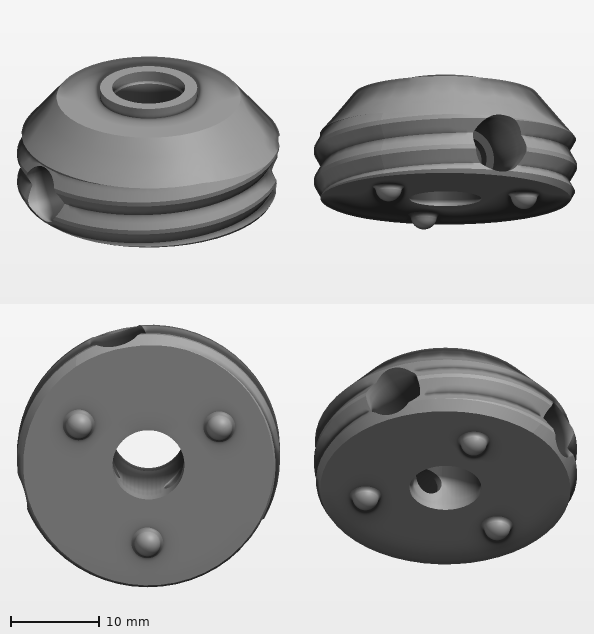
import cadquery as cq
import math

outer_radius = 14.88
housing_height = 11.98
top_face_radius = 10.42
cone_angle = 40.0
cone_height = (outer_radius - top_face_radius) / math.tan(math.radians(cone_angle))
bottom_chamfer_width = 0.7
bottom_chamfer_height = 1.27
bore_diameter = 8.15
bore_chamfer = 0.3

groove_pitch = 3.52
groove_width = 3.02
groove_depth = 0.85
groove_height_at_x_axis = 0.83
groove_top = 7.45
groove_segments_per_turn = 2
groove_first_segment = -2
groove_last_segment = 4
groove_overshoot = 0.1

port_angles = [-90, 180, 55]
port_height = 3.67
port_mouth_diameter = 6.5
port_mouth_floor = 5.92
port_step_diameter = 4.65
port_step_floor = 4.62
port_hole_diameter = 3.35

foot_angles = [-15, 105, 225]
foot_circle_radius = 9.17
foot_root_radius = 1.8
foot_neck_radius = 1.45
foot_neck_depth = 0.5
foot_depth = 1.65
foot_flare_sag = 0.05

ring_outer_diameter = 11.0
ring_bore_diameter = 8.25
ring_height = 1.2


def make_blank():
    profile = (
        cq.Workplane("XZ")
        .lineTo(outer_radius - bottom_chamfer_width, 0)
        .lineTo(outer_radius, bottom_chamfer_height)
        .lineTo(outer_radius, housing_height - cone_height)
        .lineTo(top_face_radius, housing_height)
        .lineTo(0, housing_height)
        .close()
    )
    return profile.revolve(360, (0, 0, 0), (0, 1, 0))


def make_groove_segment():
    """Sweep a V along one helical segment that starts on the +X axis at height 0."""
    segment_height = groove_pitch / groove_segments_per_turn
    helix = cq.Wire.makeHelix(groove_pitch, segment_height, outer_radius)
    root = outer_radius - groove_depth
    rim = outer_radius + groove_overshoot
    rim_half_width = groove_width / 2 * (groove_depth + groove_overshoot) / groove_depth
    section = cq.Workplane("XZ").polyline([(root, 0), (rim, -rim_half_width), (rim, rim_half_width)]).close()
    return section.sweep(cq.Workplane(helix), isFrenet=True)


def cut_groove(body):
    """Cut the groove segment by segment, from below the bottom face up to the cone."""
    segment = make_groove_segment()
    clear_zone = cq.Workplane("XY", origin=(0, 0, groove_top)).circle(2 * outer_radius).extrude(housing_height)
    for index in range(groove_first_segment, groove_last_segment + 1):
        turns = index / groove_segments_per_turn
        placed = segment.rotate((0, 0, 0), (0, 0, 1), 360 * turns)
        placed = placed.translate((0, 0, groove_height_at_x_axis + turns * groove_pitch))
        body = body.cut(placed.cut(clear_zone))
    return body


def make_bore_cutter():
    radius = bore_diameter / 2
    bore = cq.Workplane("XY").circle(radius).extrude(housing_height)
    chamfer = cq.Solid.makeCone(
        radius, radius + bore_chamfer, bore_chamfer, cq.Vector(0, 0, housing_height - bore_chamfer)
    )
    return bore.union(cq.Workplane(chamfer))


def port_cylinder(diameter, inner_end, outer_end):
    return cq.Workplane("YZ", origin=(inner_end, 0, port_height)).circle(diameter / 2).extrude(outer_end - inner_end)


def make_port_cutter(angle):
    """Radial hole that widens in two steps towards the outside."""
    beyond = outer_radius + groove_overshoot
    cutter = (
        port_cylinder(port_mouth_diameter, port_mouth_floor, beyond)
        .union(port_cylinder(port_step_diameter, port_step_floor, beyond))
        .union(port_cylinder(port_hole_diameter, 0, beyond))
    )
    return cutter.rotate((0, 0, 0), (0, 0, 1), angle)


def make_foot(angle):
    """Spherical foot with a flared root, on the housing's underside."""
    cap_depth = foot_depth - foot_neck_depth
    sphere_radius = (foot_neck_radius**2 + cap_depth**2) / (2 * cap_depth)
    sphere_centre = sphere_radius - foot_depth
    mid_angle = math.atan2(foot_neck_radius, sphere_centre + foot_neck_depth) / 2
    cap_middle = (sphere_radius * math.sin(mid_angle), sphere_centre - sphere_radius * math.cos(mid_angle))
    flare_middle = (
        (foot_root_radius + foot_neck_radius) / 2 - foot_flare_sag,
        -foot_neck_depth / 2 + foot_flare_sag,
    )
    foot = (
        cq.Workplane("XZ")
        .lineTo(foot_root_radius, 0)
        .threePointArc(flare_middle, (foot_neck_radius, -foot_neck_depth))
        .threePointArc(cap_middle, (0, -foot_depth))
        .close()
        .revolve(360, (0, 0, 0), (0, 1, 0))
    )
    return foot.translate((foot_circle_radius, 0, 0)).rotate((0, 0, 0), (0, 0, 1), angle)


def make_housing():
    housing = cut_groove(make_blank()).cut(make_bore_cutter())
    for angle in port_angles:
        housing = housing.cut(make_port_cutter(angle))
    for angle in foot_angles:
        housing = housing.union(make_foot(angle))
    return housing


def make_ring():
    return (
        cq.Workplane("XY", origin=(0, 0, housing_height))
        .circle(ring_outer_diameter / 2)
        .circle(ring_bore_diameter / 2)
        .extrude(ring_height)
    )


housing = make_housing()
ring = make_ring()
result = cq.Compound.makeCompound([*housing.solids().vals(), ring.val()])